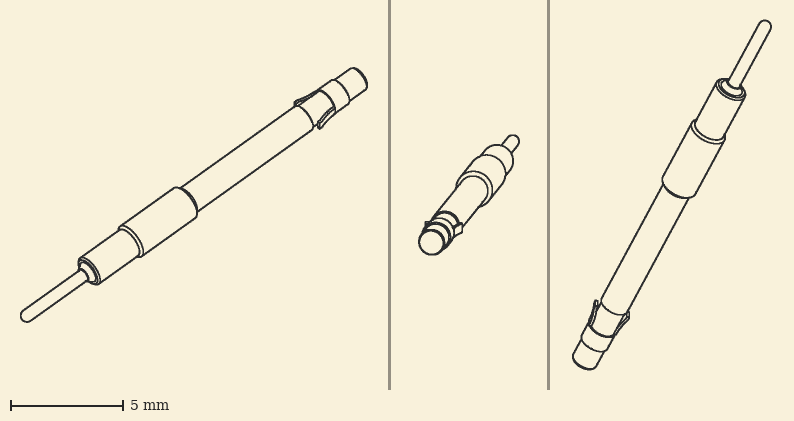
import cadquery as cq
import math

length = 20.45
rear_y = length / 2
tip_y = -length / 2

tail_diameter = 1.17
body_diameter = 1.3
neck_diameter = 1.17
collar_diameter = 1.65
barrel_diameter = 1.43
cone_base_diameter = 1.02
cone_top_diameter = 0.7
plunger_diameter = 0.57

tail_end = 1.19
ring_end = 2.05
neck_end = 3.4
collar_start = 10.42
collar_end = 13.98
barrel_end = 16.45
cone_end = 16.72

tail_chamfer_length = 0.08
tail_chamfer_depth = 0.05
collar_front_chamfer = 0.12
barrel_chamfer = 0.08

barb_end = 3.17
barb_land_length = 0.15
barb_width = 0.4
barb_thickness = 0.12


def cylinder(diameter, start, end):
    """Return a solid cylinder between two distances from the rear end."""
    return cq.Workplane("XZ", origin=(0, rear_y - start, 0)).circle(diameter / 2).extrude(end - start)


def make_tail():
    tail = cylinder(tail_diameter, 0, tail_end)
    return tail.faces(">Y").chamfer(tail_chamfer_length, tail_chamfer_depth)


def make_collar():
    rear_chamfer = (collar_diameter - body_diameter) / 2
    collar = cylinder(collar_diameter, collar_start, collar_end)
    collar = collar.faces(">Y").chamfer(rear_chamfer)
    return collar.faces("<Y").chamfer(collar_front_chamfer)


def make_plunger():
    """Return the conical shoulder and slim plunger with its domed tip, revolved about Y."""
    radius = plunger_diameter / 2
    dome_center_y = tip_y + radius
    dome_middle = (radius * math.sin(math.pi / 4), dome_center_y - radius * math.cos(math.pi / 4))
    return (
        cq.Workplane("XY")
        .moveTo(0, rear_y - barrel_end)
        .lineTo(cone_base_diameter / 2, rear_y - barrel_end)
        .lineTo(cone_top_diameter / 2, rear_y - cone_end)
        .lineTo(radius, rear_y - cone_end)
        .lineTo(radius, dome_center_y)
        .threePointArc(dome_middle, (0, tip_y))
        .close()
        .revolve(360, (0, 0), (0, 1))
    )


def make_barb(side):
    """Return a strip curving outward from the ring; side is +1 or -1 along X."""
    root_x = body_diameter / 2
    crest_x = collar_diameter / 2
    root_y = rear_y - ring_end
    end_y = rear_y - barb_end
    crest_y = end_y + barb_land_length
    middle_x = root_x + (crest_x - root_x) / 4
    middle_y = (root_y + crest_y) / 2
    inner_middle = (side * (middle_x - barb_thickness), middle_y)
    inner_root = (side * (root_x - barb_thickness), root_y)
    return (
        cq.Workplane("XY", origin=(0, 0, -barb_width / 2))
        .moveTo(*inner_root)
        .lineTo(side * root_x, root_y)
        .threePointArc((side * middle_x, middle_y), (side * crest_x, crest_y))
        .lineTo(side * crest_x, end_y)
        .lineTo(side * (crest_x - barb_thickness), end_y)
        .lineTo(side * (crest_x - barb_thickness), crest_y)
        .threePointArc(inner_middle, inner_root)
        .close()
        .extrude(barb_width)
    )


result = (
    make_tail()
    .union(cylinder(body_diameter, tail_end, ring_end))
    .union(cylinder(neck_diameter, ring_end, neck_end))
    .union(cylinder(body_diameter, neck_end, collar_start))
    .union(make_collar())
    .union(cylinder(barrel_diameter, collar_end, barrel_end).faces("<Y").chamfer(barrel_chamfer))
    .union(make_plunger())
)
for side in (-1, 1):
    result = result.union(make_barb(side))